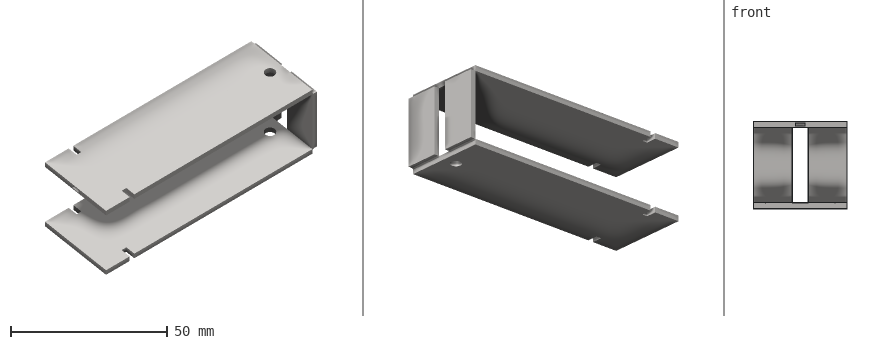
import cadquery as cq

width = 30.0
length = 89.0
height = 28.0

plate_spacing = 24.0
plate_thickness = (height - plate_spacing) / 2
post_depth = 2.0
post_gap = 5.0
bead_leg = 0.45
plate_length = length - post_depth
front_y = -length / 2
plate_back_y = front_y + plate_length

hole_diameter = 4.0
hole_inset = 5.0
notch_depth = 3.9
notch_width = 2.0
notch_start = 10.0

pocket_width = 3.0
pocket_height = 1.1
pocket_depth = 2.0


def make_plate(bottom_z):
    """Plate with a round hole at the back and a notch in each long side."""
    plate = cq.Workplane("XY", origin=(0, front_y, bottom_z)).box(
        width, plate_length, plate_thickness, centered=(True, False, False)
    )
    hole = (
        cq.Workplane("XY", origin=(0, plate_back_y - hole_inset, bottom_z))
        .circle(hole_diameter / 2)
        .extrude(plate_thickness)
    )
    notches = (
        cq.Workplane("XY", origin=(0, front_y + notch_start + notch_width / 2, bottom_z))
        .pushPoints([(-width / 2, 0), (width / 2, 0)])
        .rect(2 * notch_depth, notch_width)
        .extrude(plate_thickness)
    )
    return plate.cut(hole).cut(notches)


def make_post(left_x):
    """Upright post with a bead at each end that joins it to a plate's back edge."""
    post_width = (width - post_gap) / 2
    post = cq.Workplane("XY", origin=(left_x, plate_back_y, plate_thickness)).box(
        post_width, post_depth, plate_spacing, centered=False
    )
    for end_z, outward in ((plate_thickness, -1), (plate_thickness + plate_spacing, 1)):
        bead = (
            cq.Workplane("YZ", origin=(left_x, plate_back_y, end_z))
            .polyline([(0, 0), (bead_leg, 0), (0, outward * bead_leg)])
            .close()
            .extrude(post_width)
        )
        post = post.union(bead)
    return post


upper_plate_z = height - plate_thickness
pocket = cq.Workplane("XY", origin=(0, front_y, upper_plate_z + plate_thickness / 2)).box(
    pocket_width, pocket_depth, pocket_height, centered=(True, False, True)
)

upper_plate = make_plate(upper_plate_z).cut(pocket)
result = make_plate(0).union(upper_plate)
for post_left_x in (-width / 2, post_gap / 2):
    result = result.union(make_post(post_left_x))